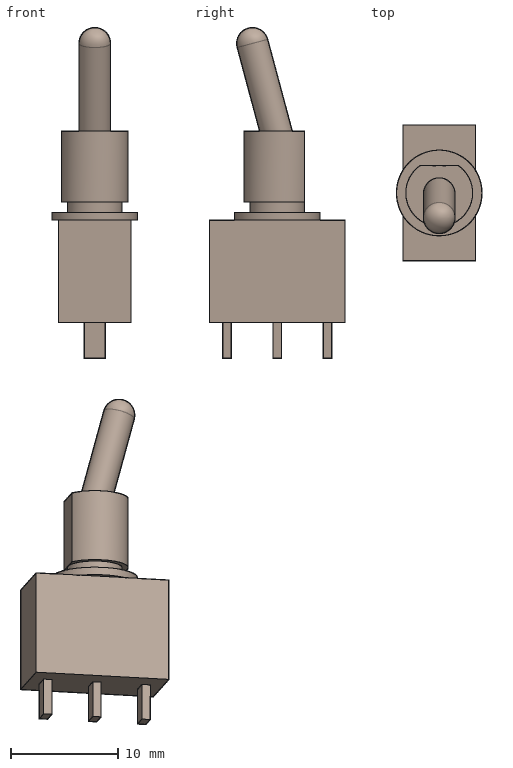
import cadquery as cq
import math

housing_width = 6.8
housing_depth = 12.7
housing_height = 9.6
pin_width = 1.98
pin_thickness = 0.8
pin_length = 3.35
pin_pitch = 4.7

flange_diameter = 8.0
flange_height = 0.7
neck_diameter = 5.13
neck_height = 0.95
bushing_diameter = 6.25
bushing_height = 6.65
flat_offset = neck_diameter / 2

total_height = 30.92
lever_diameter = 2.97
lever_tilt = 15.0
ball_center_y = -2.32

housing_top = pin_length + housing_height
flange_top = housing_top + flange_height
neck_top = flange_top + neck_height
bushing_top = neck_top + bushing_height
lever_radius = lever_diameter / 2


def disc(diameter, bottom, height):
    return cq.Workplane("XY", origin=(0, 0, bottom)).circle(diameter / 2).extrude(height)


def make_housing():
    base = cq.Workplane("XY", origin=(0, 0, pin_length))
    return base.rect(housing_width, housing_depth).extrude(housing_height)


def make_pins():
    rows = [(0, -pin_pitch), (0, 0), (0, pin_pitch)]
    return cq.Workplane("XY").pushPoints(rows).rect(pin_width, pin_thickness).extrude(pin_length)


def make_bushing():
    bushing = disc(bushing_diameter, neck_top, bushing_height)
    keep = cq.Workplane("XY", origin=(0, flat_offset - bushing_diameter / 2, neck_top))
    return bushing.intersect(keep.rect(bushing_diameter, bushing_diameter).extrude(bushing_height))


def make_lever():
    tilt = math.radians(lever_tilt)
    axis = cq.Vector(0, -math.sin(tilt), math.cos(tilt))
    ball_center = cq.Vector(0, ball_center_y, total_height - lever_radius)
    root_z = bushing_top - lever_diameter
    length = (ball_center.z - root_z) / math.cos(tilt)
    root = ball_center - axis * length
    rod = cq.Workplane("XY").add(cq.Solid.makeCylinder(lever_radius, length, root, axis))
    ball = cq.Workplane("XY", origin=ball_center.toTuple()).sphere(lever_radius)
    return rod.union(ball)


result = (
    make_housing()
    .union(make_pins())
    .union(disc(flange_diameter, housing_top, flange_height))
    .union(disc(neck_diameter, flange_top, neck_height))
    .union(make_bushing())
    .union(make_lever())
)